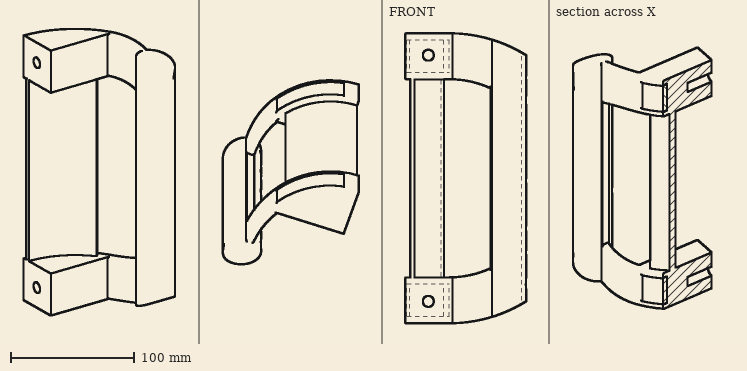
import cadquery as cq
import math

LENGTH = 236.0
DEPTH = 86.5
HALF_LENGTH = LENGTH / 2

STRAP_RADIUS = 72.7
STRAP_THICKNESS = 6.4
STRAP_INNER = STRAP_RADIUS - STRAP_THICKNESS
EDGE_FILLET = 1.5

BLOCK_WIDTH = 38.5
BLOCK_HEIGHT = 37.5
BEND_START_X = 35.9
WINDOW_HALF = HALF_LENGTH - BLOCK_HEIGHT
WINDOW_END_X = 69.5

HOLE_DIAMETER = 9.0
HOLE_DEPTH = 23.5
HOLE_X = 18.9
HOLE_Z = HALF_LENGTH - 18.0

COVER_GAP = 4.0
COVER_THICKNESS = 3.8
COVER_ANGLE = 50.8
COVER_OUTER = STRAP_RADIUS - COVER_GAP
COVER_INNER = COVER_OUTER - COVER_THICKNESS

GRIP_X = 84.5
GRIP_Y = 71.7
GRIP_MAJOR = 16.0
GRIP_MINOR = 12.7
GRIP_TILT = 51.0

INLAY_Y_MIN = 12.3
INLAY_Y_MAX = 59.7
INLAY_HEIGHT = 26.7
INLAY_THICKNESS = 2.4
INLAY_Z = HALF_LENGTH - BLOCK_HEIGHT / 2

SIDES = (1, -1)


def ring_sector(outer, inner, angle, height):
    """Ring sector about the strap axis, opening upward from Y = 0, centred on Z = 0."""

    def point(radius, degrees):
        turn = math.radians(degrees)
        return (STRAP_RADIUS - radius * math.cos(turn), radius * math.sin(turn))

    return (
        cq.Workplane("XY")
        .workplane(offset=-height / 2)
        .moveTo(*point(outer, 0))
        .threePointArc(point(outer, angle / 2), point(outer, angle))
        .lineTo(*point(inner, angle))
        .threePointArc(point(inner, angle / 2), point(inner, 0))
        .close()
        .extrude(height)
    )


def rounded_end_slab(radius, end_x):
    """Slab through Y: straight to BEND_START_X, then narrowing along an arc up to end_x."""
    run = end_x - BEND_START_X
    end_z = math.sqrt(radius**2 - run**2)
    middle = math.asin(run / radius) / 2
    middle_x = BEND_START_X + radius * math.sin(middle)
    middle_z = radius * math.cos(middle)
    return (
        cq.Workplane("XZ")
        .moveTo(0, radius)
        .lineTo(BEND_START_X, radius)
        .threePointArc((middle_x, middle_z), (end_x, end_z))
        .lineTo(end_x, -end_z)
        .threePointArc((middle_x, -middle_z), (BEND_START_X, -radius))
        .lineTo(0, -radius)
        .close()
        .extrude(-2 * DEPTH)
    )


def make_strap():
    strap = ring_sector(STRAP_RADIUS, STRAP_INNER, 90, LENGTH)
    strap = strap.intersect(rounded_end_slab(HALF_LENGTH, BEND_START_X + WINDOW_HALF))
    strap = strap.cut(rounded_end_slab(WINDOW_HALF, WINDOW_END_X))
    return strap.edges("not %LINE").fillet(EDGE_FILLET)


def make_block(side):
    """Solid block behind the strap, stopping short of the strap's outer fillet."""
    radius = STRAP_RADIUS - EDGE_FILLET
    center_z = side * (HALF_LENGTH - BLOCK_HEIGHT / 2)
    cylinder = (
        cq.Workplane("XY").center(STRAP_RADIUS, 0).circle(radius).extrude(LENGTH / 2, both=True)
    )
    box = (
        cq.Workplane("XY")
        .box(BLOCK_WIDTH, DEPTH, BLOCK_HEIGHT, centered=(False, False, True))
        .translate((0, 0, center_z))
    )
    outline = rounded_end_slab(HALF_LENGTH, BEND_START_X + WINDOW_HALF)
    return box.intersect(cylinder).intersect(outline)


def make_grip():
    grip = (
        cq.Workplane("XY")
        .workplane(offset=-HALF_LENGTH)
        .center(GRIP_X, GRIP_Y)
        .ellipse(GRIP_MAJOR, GRIP_MINOR, rotation_angle=GRIP_TILT)
        .extrude(LENGTH)
    )
    grip = grip.intersect(rounded_end_slab(HALF_LENGTH, BEND_START_X + WINDOW_HALF))
    return grip.edges("not %LINE").fillet(EDGE_FILLET)


def make_inlay(side):
    band = (
        cq.Workplane("XY")
        .box(BLOCK_WIDTH, INLAY_Y_MAX - INLAY_Y_MIN, INLAY_HEIGHT, centered=(False, False, True))
        .translate((0, INLAY_Y_MIN, side * INLAY_Z))
    )
    shell = ring_sector(STRAP_RADIUS, STRAP_RADIUS - INLAY_THICKNESS, 90, LENGTH)
    return shell.intersect(band)


def make_hole(side):
    return (
        cq.Workplane("XZ")
        .center(HOLE_X, side * HOLE_Z)
        .circle(HOLE_DIAMETER / 2)
        .extrude(-HOLE_DEPTH)
    )


inlays = [make_inlay(side) for side in SIDES]

cover = ring_sector(COVER_OUTER, COVER_INNER, COVER_ANGLE, 2 * WINDOW_HALF)
handle = make_strap().union(make_grip()).union(cover)
for side in SIDES:
    handle = handle.union(make_block(side))
for side, inlay in zip(SIDES, inlays):
    handle = handle.cut(make_hole(side)).cut(inlay)

result = cq.Compound.makeCompound([handle.solids().val(), *[inlay.solids().val() for inlay in inlays]])